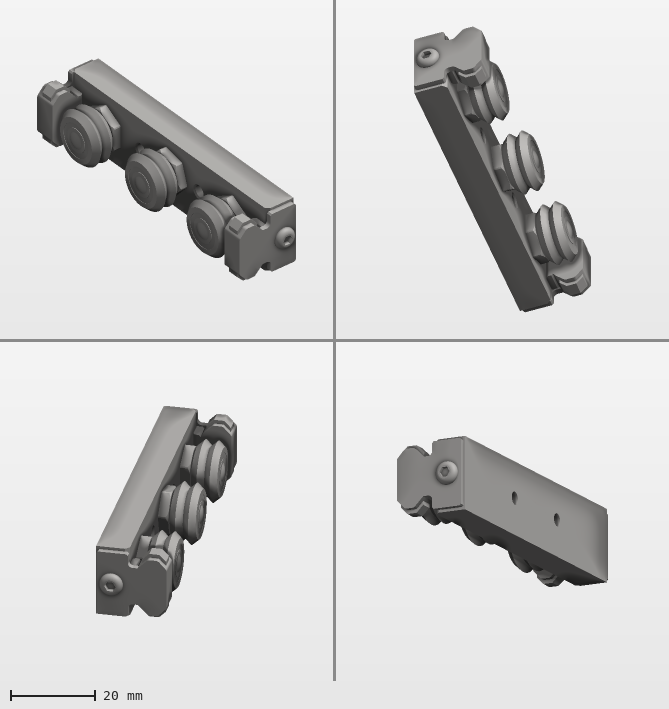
import cadquery as cq
import math


BAR_LENGTH = 74.0
BAR_DEPTH = 8.0
BAR_HEIGHT = 18.01
BAR_CHAMFER = 1.0
MOUNT_HOLE_SPACING = 22.0
MOUNT_HOLE_DIAMETER = 3.2
MOUNT_HOLE_CHAMFER = 0.4
COUNTERSINK_ANGLE = 90.0

ROLLER_SPACING = 24.0
ROLLER_DROP = 0.25
ECCENTRIC_X = 0.6
ECCENTRIC_Z = 0.35
ECCENTRIC_TURN = 18.0
ROLLER_PLACES = [
    (-ROLLER_SPACING, -ROLLER_DROP, 0.0),
    (ECCENTRIC_X, ECCENTRIC_Z, ECCENTRIC_TURN),
    (ROLLER_SPACING, -ROLLER_DROP, 0.0),
]
HEX_ACROSS_FLATS = 11.0
HEX_THICKNESS = 2.4
HEX_CORNER_RADIUS = 6.25
HEX_CHAMFER = 0.5
NECK_RADIUS = 4.0
NECK_LENGTH = 0.45
RIDGE_RADIUS = 7.45
VALLEY_RADIUS = 6.05
RIDGE_PITCH = 3.15
SHIELD_OUTER_RADIUS = 4.7
SHIELD_INNER_RADIUS = 3.3
SHIELD_RECESS = 0.1
STUD_RADIUS = 2.2
STUD_DOME_HEIGHT = 0.48

PLATE_THICKNESS = 1.4
PLATE_HEIGHT = 16.6
PLATE_BACK_INSET = 0.4
PLATE_CHAMFER = 0.4
NOTCH_EDGE_Z = 5.8
NOTCH_FLOOR_Z = 4.85
NOTCH_FLOOR_DEPTH = 1.45
LIP_Z = 4.5
GROOVE_DEPTH = 1.85
GROOVE_FLOOR_Z = 4.0
WIPER_TOP_Z = 7.35
WIPER_TOP_START = 4.88
WIPER_TOP_END = 7.28
WIPER_FRONT = 9.4
WIPER_FRONT_Z = 5.06
WIPER_ROUND = 1.0
BLOCK_WIDTH = 4.4
BLOCK_ROUND = 0.9
RIB_WIDTH = 3.2
RIB_RISE = 0.95
RIB_BACK = 3.1
RIB_FRONT = 8.95

HEAD_Y = BAR_DEPTH / 2
HEAD_RADIUS = 2.85
HEAD_FLAT_RADIUS = 1.65
HEAD_HEIGHT = 1.53
SOCKET_ACROSS_CORNERS = 2.7
SOCKET_DEPTH = 1.2


def make_bar():
    """Rectangular bar with chamfered front corners and two mounting holes chamfered at the front."""
    bar = (
        cq.Workplane("XY")
        .box(BAR_LENGTH, BAR_DEPTH, BAR_HEIGHT, centered=(True, False, True))
        .edges("|Z and <Y")
        .chamfer(BAR_CHAMFER)
    )
    holes = (
        bar.faces("<Y")
        .workplane(origin=(0, 0, 0))
        .pushPoints([(-MOUNT_HOLE_SPACING / 2, 0), (MOUNT_HOLE_SPACING / 2, 0)])
    )
    rim_diameter = MOUNT_HOLE_DIAMETER + 2 * MOUNT_HOLE_CHAMFER
    return holes.cskHole(MOUNT_HOLE_DIAMETER, rim_diameter, COUNTERSINK_ANGLE)


def make_roller(x, z, turn):
    """Hexagon, neck, two-ridge roller and domed stud end as one solid on the bar's face."""
    hexagon = (
        cq.Workplane("XZ")
        .polygon(6, HEX_ACROSS_FLATS, circumscribed=True)
        .extrude(HEX_THICKNESS)
    )
    chamfered_blank = (
        cq.Workplane("XZ").circle(HEX_CORNER_RADIUS).extrude(HEX_THICKNESS).faces("<Y").chamfer(HEX_CHAMFER)
    )
    hexagon = hexagon.intersect(chamfered_blank)

    roller_back = -HEX_THICKNESS - NECK_LENGTH
    slope = RIDGE_PITCH / 2
    roller_front = roller_back - 2 * RIDGE_PITCH
    shield_floor = roller_front + SHIELD_RECESS
    dome_tip = roller_front - STUD_DOME_HEIGHT
    dome_radius = (STUD_RADIUS**2 + STUD_DOME_HEIGHT**2) / (2 * STUD_DOME_HEIGHT)
    half_angle = math.asin(STUD_RADIUS / dome_radius) / 2
    dome_middle = (
        dome_radius * math.sin(half_angle),
        dome_tip + dome_radius * (1 - math.cos(half_angle)),
    )
    roller = (
        cq.Workplane("XY")
        .moveTo(0, -HEX_THICKNESS)
        .lineTo(NECK_RADIUS, -HEX_THICKNESS)
        .lineTo(NECK_RADIUS, roller_back)
        .lineTo(VALLEY_RADIUS, roller_back)
        .lineTo(RIDGE_RADIUS, roller_back - slope)
        .lineTo(VALLEY_RADIUS, roller_back - 2 * slope)
        .lineTo(RIDGE_RADIUS, roller_back - 3 * slope)
        .lineTo(VALLEY_RADIUS, roller_front)
        .lineTo(SHIELD_OUTER_RADIUS, roller_front)
        .lineTo(SHIELD_OUTER_RADIUS, shield_floor)
        .lineTo(SHIELD_INNER_RADIUS, shield_floor)
        .lineTo(SHIELD_INNER_RADIUS, roller_front)
        .lineTo(STUD_RADIUS, roller_front)
        .threePointArc(dome_middle, (0, dome_tip))
        .close()
        .revolve(360, (0, 0, 0), (0, 1, 0))
    )
    roller = hexagon.union(roller)
    return roller.rotate((0, 0, 0), (0, 1, 0), -turn).translate((x, 0, z))


def extrude_wiper(outline, width):
    """Carry a half outline over the sloped wiper, mirror it and round its corners."""
    end_block = (
        outline.lineTo(WIPER_TOP_Z - NOTCH_FLOOR_Z - WIPER_TOP_START, NOTCH_FLOOR_Z)
        .lineTo(-WIPER_TOP_START, WIPER_TOP_Z)
        .lineTo(-WIPER_TOP_END, WIPER_TOP_Z)
        .lineTo(-WIPER_FRONT, WIPER_FRONT_Z)
        .lineTo(-WIPER_FRONT, 0)
        .mirrorX()
        .extrude(width)
    )
    corner_region = cq.selectors.BoxSelector(
        (-BAR_LENGTH, -WIPER_TOP_START + WIPER_ROUND, -BAR_HEIGHT),
        (BAR_LENGTH, -WIPER_FRONT - WIPER_ROUND, BAR_HEIGHT),
    )
    return end_block.edges("|X").edges(corner_region).fillet(WIPER_ROUND)


def make_plate():
    """End plate: a chamfered rectangle behind the notch and the wiper outline in front of it."""
    back = BAR_DEPTH - PLATE_BACK_INSET
    top = PLATE_HEIGHT / 2
    arc_rise = NOTCH_EDGE_Z - NOTCH_FLOOR_Z
    arc_middle = (
        -NOTCH_FLOOR_DEPTH * (1 - math.cos(math.pi / 4)),
        NOTCH_EDGE_Z - arc_rise * math.sin(math.pi / 4),
    )
    outline = (
        cq.Workplane("YZ", origin=(-BAR_LENGTH / 2 - PLATE_THICKNESS, 0, 0))
        .moveTo(back, 0)
        .lineTo(back, top - PLATE_CHAMFER)
        .lineTo(back - PLATE_CHAMFER, top)
        .lineTo(PLATE_CHAMFER, top)
        .lineTo(0, top - PLATE_CHAMFER)
        .lineTo(0, NOTCH_EDGE_Z)
        .threePointArc(arc_middle, (-NOTCH_FLOOR_DEPTH, NOTCH_FLOOR_Z))
    )
    return extrude_wiper(outline, PLATE_THICKNESS)


def make_wiper_block():
    """Wiper in front of the bar, with a low lip next to the bar and a groove behind the slope."""
    outline = (
        cq.Workplane("YZ", origin=(-BAR_LENGTH / 2, 0, 0))
        .moveTo(0, 0)
        .lineTo(0, LIP_Z)
        .lineTo(-NOTCH_FLOOR_DEPTH, LIP_Z)
        .lineTo(-GROOVE_DEPTH, GROOVE_FLOOR_Z)
    )
    block = extrude_wiper(outline, BLOCK_WIDTH)
    return block.faces(">X").edges("|Z").edges(">Y").fillet(BLOCK_ROUND)


def make_wiper_rib():
    """Raised middle strip that stands above and below the block, with 45 degree slopes."""
    top = WIPER_TOP_Z + RIB_RISE
    return (
        cq.Workplane("YZ", origin=(-BAR_LENGTH / 2, 0, 0))
        .moveTo(-RIB_BACK, 0)
        .lineTo(-RIB_BACK, top - WIPER_TOP_START + RIB_BACK)
        .lineTo(-WIPER_TOP_START, top)
        .lineTo(-WIPER_TOP_END, top)
        .lineTo(-RIB_FRONT, top - RIB_FRONT + WIPER_TOP_END)
        .lineTo(-RIB_FRONT, 0)
        .mirrorX()
        .extrude(RIB_WIDTH)
    )


def make_screw_head():
    """Button head with a hexagon socket, standing on the left plate."""
    seat = -BAR_LENGTH / 2 - PLATE_THICKNESS
    dome_middle = (
        seat - HEAD_HEIGHT * math.sin(math.pi / 4),
        HEAD_FLAT_RADIUS + (HEAD_RADIUS - HEAD_FLAT_RADIUS) * math.cos(math.pi / 4),
    )
    head = (
        cq.Workplane("XY")
        .moveTo(seat, 0)
        .lineTo(seat, HEAD_RADIUS)
        .threePointArc(dome_middle, (seat - HEAD_HEIGHT, HEAD_FLAT_RADIUS))
        .lineTo(seat - HEAD_HEIGHT, 0)
        .close()
        .revolve(360, (0, 0, 0), (1, 0, 0))
    )
    socket = (
        cq.Workplane("YZ", origin=(seat - HEAD_HEIGHT, 0, 0))
        .polygon(6, SOCKET_ACROSS_CORNERS)
        .extrude(SOCKET_DEPTH)
    )
    return head.cut(socket).translate((0, HEAD_Y, 0))


def make_left_cap():
    return make_plate().union(make_wiper_block()).union(make_wiper_rib()).union(make_screw_head())


bar = make_bar()
rollers = [make_roller(x, z, turn) for x, z, turn in ROLLER_PLACES]
left_cap = make_left_cap()
right_cap = left_cap.mirror("YZ")

result = cq.Compound.makeCompound(
    [
        bar.val(),
        *[roller.val() for roller in rollers],
        left_cap.val(),
        right_cap.val(),
    ]
)